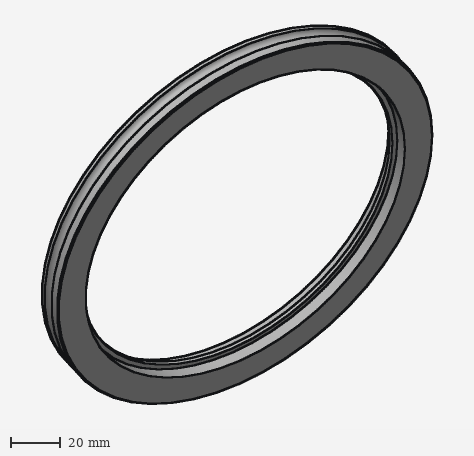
import cadquery as cq

width = 12.0
outer_diameter = 180.0
bore_diameter = 153.0
lip_diameter = 148.3
edge_chamfer = 0.5

groove_bottom_diameter = 175.0
groove_center_x = -1.0

lip_start_x = -1.5
lip_thickness = 2.0

half_width = width / 2
groove_radius = (outer_diameter - groove_bottom_diameter) / 2


def tube(start_x, length, outside, inside):
    """Tube along +X from start_x with the given outside and inside diameters."""
    return (
        cq.Workplane("YZ", origin=(start_x, 0, 0))
        .circle(outside / 2)
        .circle(inside / 2)
        .extrude(length)
    )


def chamfered_ring():
    """Plain ring with both outer rim edges chamfered."""
    ring_radius = outer_diameter / 2
    shoulder_radius = ring_radius - edge_chamfer
    bore_radius = bore_diameter / 2
    return (
        cq.Workplane("XY")
        .moveTo(-half_width, bore_radius)
        .lineTo(-half_width, shoulder_radius)
        .lineTo(-half_width + edge_chamfer, ring_radius)
        .lineTo(half_width - edge_chamfer, ring_radius)
        .lineTo(half_width, shoulder_radius)
        .lineTo(half_width, bore_radius)
        .close()
        .revolve(360, (0, 0, 0), (1, 0, 0))
    )


def rim_groove():
    """Torus that cuts the half-round groove around the rim."""
    return (
        cq.Workplane("XY")
        .moveTo(groove_center_x, outer_diameter / 2)
        .circle(groove_radius)
        .revolve(360, (0, 0, 0), (1, 0, 0))
    )


inner_lip = tube(lip_start_x, lip_thickness, bore_diameter, lip_diameter)
result = chamfered_ring().cut(rim_groove()).union(inner_lip)